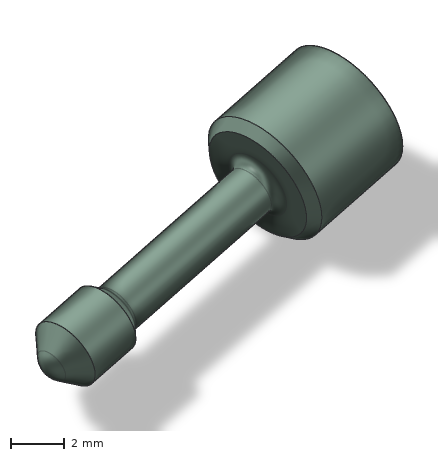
import cadquery as cq
import math

total_length = 16.97
head_radius = 2.85
head_length = 4.99
head_chamfer = 0.4
shank_radius = 1.04
root_fillet = 0.4
tip_radius = 1.5
tip_barrel_length = 2.3
shoulder_fillet = 0.2
nose_radius = 1.0

diagonal = math.sqrt(0.5)
half_arc_angle = math.pi / 8
cap_radius = nose_radius * diagonal
cap_length = nose_radius - cap_radius
cone_length = tip_radius - cap_radius

cap_end = cap_length
barrel_start = cap_end + cone_length
barrel_end = barrel_start + tip_barrel_length
head_start = total_length - head_length

blend_rise = shoulder_fillet * (1 - diagonal)
blend_radius = shank_radius + blend_rise
blend_start = barrel_end + tip_radius - blend_radius
blend_end = blend_start + shoulder_fillet * diagonal
blend_mid = (
    shank_radius + shoulder_fillet * (1 - math.cos(half_arc_angle)),
    blend_end - shoulder_fillet * math.sin(half_arc_angle),
)

nose_mid = (
    nose_radius * math.sin(half_arc_angle),
    nose_radius * (1 - math.cos(half_arc_angle)),
)
root_mid = (
    shank_radius + root_fillet * (1 - diagonal),
    head_start - root_fillet * (1 - diagonal),
)

profile = (
    cq.Workplane("XY")
    .moveTo(0, 0)
    .threePointArc(nose_mid, (cap_radius, cap_end))
    .lineTo(tip_radius, barrel_start)
    .lineTo(tip_radius, barrel_end)
    .lineTo(blend_radius, blend_start)
    .threePointArc(blend_mid, (shank_radius, blend_end))
    .lineTo(shank_radius, head_start - root_fillet)
    .threePointArc(root_mid, (shank_radius + root_fillet, head_start))
    .lineTo(head_radius - head_chamfer, head_start)
    .lineTo(head_radius, head_start + head_chamfer)
    .lineTo(head_radius, total_length)
    .lineTo(0, total_length)
    .close()
)
result = profile.revolve(360, (0, 0, 0), (0, 1, 0))